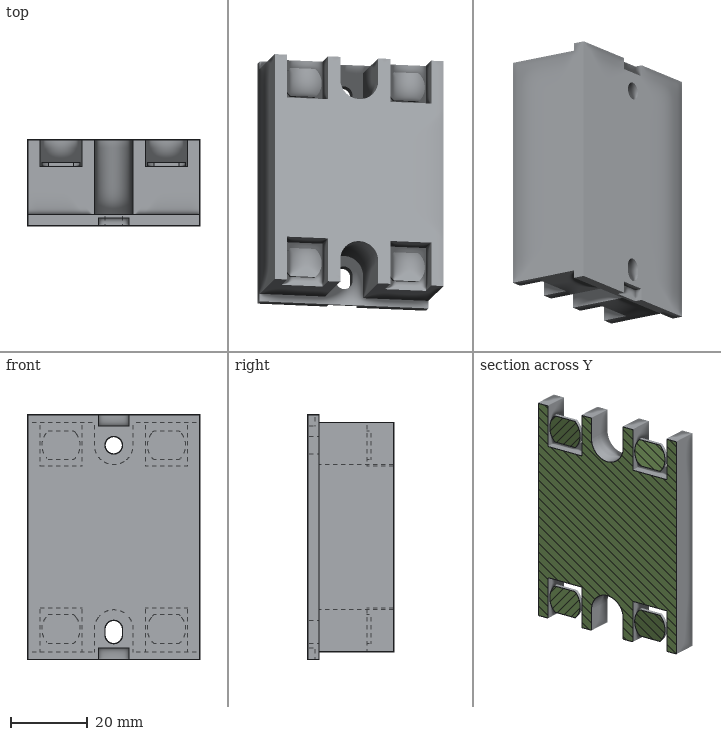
import cadquery as cq
import math

width = 45.0
total_depth = 22.5
base_height = 64.0
base_thickness = 3.0
housing_height = 60.0
housing_depth = total_depth - base_thickness
housing_end = housing_height / 2

recess_width = 8.0
recess_height = 3.0
recess_depth = 2.0

hole_diameter = 4.5
hole_inset = 8.0
hole_z = base_height / 2 - hole_inset
slot_length = 6.0
slot_z = -hole_z - (slot_length - hole_diameter) / 2

notch_width = 10.1
notch_radius = notch_width / 2

pocket_width = 10.9
pocket_depth = 7.05
pocket_x = (width / 2 + notch_radius) / 2
pocket_inner_z = hole_z - pocket_width / 2
pocket_floor_y = total_depth - pocket_depth

terminal_diameter = 10.0
terminal_thickness = 1.0
terminal_flat_length = 6.6
terminal_across_flats = math.sqrt(terminal_diameter**2 - terminal_flat_length**2)

ENDS = (1, -1)
SIDES = (-1, 1)


def y_block(size_x, size_z, x, z, y_start, depth):
    """Block centred at (x, z) that reaches from y_start toward +Y."""
    return cq.Workplane("XY").box(size_x, depth, size_z).translate((x, y_start + depth / 2, z))


def y_cylinder(diameter, x, z, y_start, depth):
    """Cylinder along Y, centred at (x, z), that reaches from y_start toward +Y."""
    axis_start = cq.Vector(x, y_start, z)
    return cq.Workplane(cq.Solid.makeCylinder(diameter / 2, depth, axis_start, cq.Vector(0, 1, 0)))


def make_base():
    base = y_block(width, base_height, 0, 0, 0, base_thickness)
    for end in ENDS:
        recess_z = end * (base_height - recess_height) / 2
        base = base.cut(y_block(recess_width, recess_height, 0, recess_z, 0, recess_depth))

    base = base.cut(y_cylinder(hole_diameter, 0, hole_z, 0, base_thickness))
    slot = (
        cq.Workplane("XZ", origin=(0, 0, slot_z))
        .slot2D(slot_length, hole_diameter, 90)
        .extrude(-base_thickness)
    )
    return base.cut(slot)


def make_notch(end):
    """Round-bottomed notch, concentric with a mounting hole and open at the housing end."""
    opening_height = housing_end - hole_z
    opening_z = end * (hole_z + opening_height / 2)
    opening = y_block(notch_width, opening_height, 0, opening_z, base_thickness, housing_depth)
    round_bottom = y_cylinder(notch_width, 0, end * hole_z, base_thickness, housing_depth)
    return opening.union(round_bottom)


def make_pocket(side, end):
    """Pocket open at the housing end and at the +Y face."""
    height = housing_end - pocket_inner_z
    z = end * (pocket_inner_z + height / 2)
    return y_block(pocket_width, height, side * pocket_x, z, pocket_floor_y, pocket_depth)


def make_housing():
    housing = y_block(width, housing_height, 0, 0, base_thickness, housing_depth)
    for end in ENDS:
        housing = housing.cut(make_notch(end))
        for side in SIDES:
            housing = housing.cut(make_pocket(side, end))
    return housing


def make_terminal(side, end):
    """Disc with flats toward +Z and -Z, level with the mounting hole axis."""
    x = side * pocket_x
    z = end * hole_z
    disc = y_cylinder(terminal_diameter, x, z, pocket_floor_y, terminal_thickness)
    flats = y_block(terminal_diameter, terminal_across_flats, x, z, pocket_floor_y, terminal_thickness)
    return disc.intersect(flats)


base = make_base()
housing = make_housing()
terminals = [make_terminal(side, end).solids().val() for end in ENDS for side in SIDES]

result = cq.Compound.makeCompound([base.solids().val(), housing.solids().val(), *terminals])